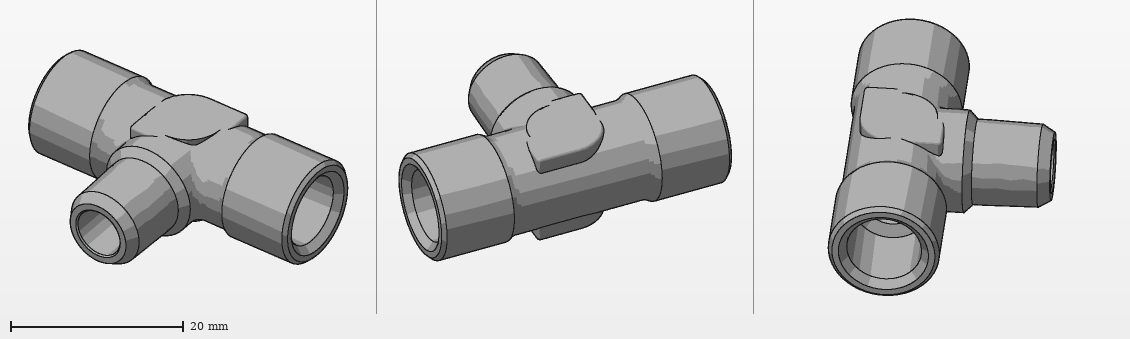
import cadquery as cq

half_length = 18.5
collar_diameter = 13.0
collar_radius = collar_diameter / 2
tube_radius = 6.0
collar_inner_end = 9.45
shoulder_middle = 8.75
shoulder_foot = 8.2
shoulder_middle_radius = 6.1
end_chamfer = 0.48

overall_depth = 24.5
branch_end = overall_depth - collar_radius
neck_end = 7.95
spigot_radius = 5.0
spigot_start = neck_end + tube_radius - spigot_radius
taper_start = 10.45
taper_end = 16.58
taper_end_radius = 4.85
tip_radius = 4.0

bore_radius = 3.0
bore_mouth_chamfer = 0.2
socket_radius = 4.35
socket_mouth_radius = 5.25
socket_bottom = 8.88
socket_cone_depth = 0.8

pad_radius = 4.5
pad_corner = 5.5
pad_fillet = 0.48
selection_margin = 0.05
crossing_fillet = 1.48


def turned_branch(points):
    """Revolve (radius, y) points about the Y axis."""
    return cq.Workplane("XY").polyline(points).close().revolve(360, (0, 0), (0, 1))


def turned_run(points):
    """Revolve (x, radius) points about the X axis."""
    return cq.Workplane("XY").polyline(points).close().revolve(360, (0, 0), (1, 0))


def make_crossing():
    run_tube = cq.Workplane("YZ").circle(tube_radius).extrude(shoulder_foot, both=True)
    neck = cq.Workplane("XZ").circle(tube_radius).extrude(neck_end)
    return run_tube.union(neck)


def make_pad():
    """Pad block through the crossing, flush with the tube crests on both sides."""
    diagonal = pad_radius * 0.5**0.5
    rim = (
        cq.Workplane("XY")
        .moveTo(0, 0)
        .lineTo(0, -pad_corner)
        .lineTo(-pad_radius, -pad_corner)
        .lineTo(-pad_radius, 0)
        .threePointArc((-diagonal, diagonal), (0, pad_radius))
        .lineTo(pad_corner, pad_radius)
        .lineTo(pad_corner, 0)
        .close()
        .extrude(tube_radius, both=True)
    )
    for corner in [(pad_corner, pad_radius, 0), (-pad_radius, -pad_corner, 0)]:
        rim = rim.edges(cq.NearestToPointSelector(corner)).fillet(pad_fillet)
    inner_edges = cq.selectors.BoxSelector(
        (-selection_margin, -pad_corner, -tube_radius - selection_margin),
        (pad_corner, selection_margin, tube_radius + selection_margin),
    )
    rim = rim.faces("|Z").edges(cq.StringSyntaxSelector("#Z") - inner_edges).fillet(pad_fillet)
    inner_quarter = (
        cq.Workplane("XY")
        .lineTo(0, -pad_radius)
        .threePointArc((diagonal, -diagonal), (pad_radius, 0))
        .close()
        .extrude(tube_radius, both=True)
    )
    return rim.union(inner_quarter)


def make_collar():
    return turned_run([
        (shoulder_foot, 0),
        (shoulder_foot, tube_radius),
        (shoulder_middle, shoulder_middle_radius),
        (collar_inner_end, collar_radius),
        (half_length - end_chamfer, collar_radius),
        (half_length, collar_radius - end_chamfer),
        (half_length, 0),
    ])


def make_spigot():
    return turned_branch([
        (0, -neck_end),
        (tube_radius, -neck_end),
        (spigot_radius, -spigot_start),
        (spigot_radius, -taper_start),
        (taper_end_radius, -taper_end),
        (tip_radius, -branch_end),
        (0, -branch_end),
    ])


def make_socket():
    """Socket with a 45 degree mouth and a conical bottom running into the bore."""
    mouth_depth = socket_mouth_radius - socket_radius
    return turned_run([
        (0, 0),
        (0, bore_radius),
        (socket_bottom, bore_radius),
        (socket_bottom + socket_cone_depth, socket_radius),
        (half_length - mouth_depth, socket_radius),
        (half_length, socket_mouth_radius),
        (half_length, 0),
    ])


def make_branch_bore():
    return turned_branch([
        (0, 0),
        (bore_radius, 0),
        (bore_radius, bore_mouth_chamfer - branch_end),
        (bore_radius + bore_mouth_chamfer, -branch_end),
        (0, -branch_end),
    ])


body = make_crossing().union(make_pad())
body = body.edges("%ELLIPSE").fillet(crossing_fillet)

collar = make_collar()
socket = make_socket()
body = body.union(collar).union(collar.mirror("YZ")).union(make_spigot())
result = body.cut(socket).cut(socket.mirror("YZ")).cut(make_branch_bore())